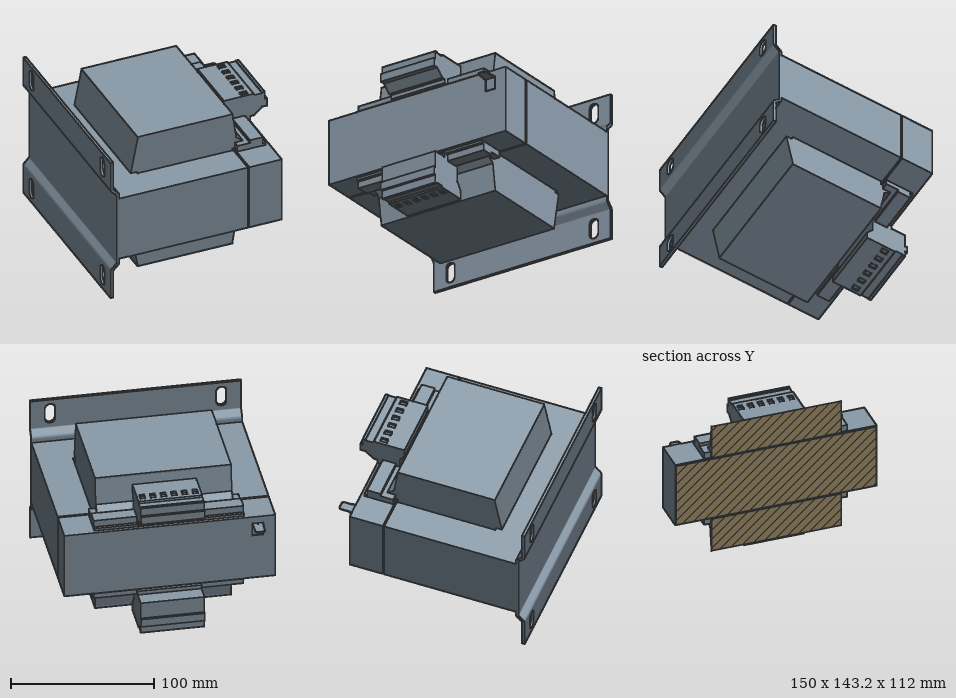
import cadquery as cq
import math


TOLERANCE = 0.02

CORE_WIDTH = 150.0
CORE_HEIGHT = 50.0
CORE_FRONT = 6.8
CORE_BACK = 131.1
HALF_CORE = CORE_HEIGHT / 2
JOINT_FRONT = 105.3
JOINT_WIDTH = 0.9
JOINT_DEPTH = 0.5
WINDOW_WIDTH = 100.5
WINDOW_FRONT = 31.6

COIL_WIDTH = 96.8
COIL_TOP = 53.7
COIL_RIM = 1.5
COIL_TOP_FRONT = 32.5
COIL_TOP_BACK = 105.3
COIL_BASE_FRONT = 27.3
SHOULDER_BACK = 108.2
SHOULDER_Z = 33.6
COIL_BASE_BACK = 113.1

BRACKET_HEIGHT = 112.0
SHEET = 2.1
BEND_ANGLE = 45.0
INNER_BEND_RADIUS = 1.0
WEB_CORNER_Z = 28.0
SLOT_LENGTH = 15.3
SLOT_WIDTH = 7.4
SLOT_SPACING_X = 121.8
SLOT_SPACING_Z = 89.7

RAIL_WIDTH = 106.5
RAIL_FRONT = 106.8
RAIL_STEP = 116.4
RAIL_BACK = 126.3
RAIL_LOW_Z = 29.7
RAIL_HIGH_Z = 32.0
LIP_BACK = 128.5
LIP_Z = 26.8

STRIP_WIDTH = 45.3
STRIP_FRONT = 110.1
UPPER_WAIST = 113.7
LOWER_WAIST = 114.5
STRIP_BODY_BACK = 141.5
STRIP_NOSE_BACK = 143.2
STRIP_HEEL_BACK = 130.4
STRIP_TOP = 48.3
LOWER_STRIP_EXTRA = 7.0
STRIP_FOOT = 27.3
STRIP_HEEL_Z = 30.3
NOSE_LOW_Z = 35.7
NOSE_HIGH_Z = 41.7
WAIST_LOW_Z = 36.2
WAIST_HIGH_Z = 42.3
LEDGE_Z = 47.1
LEDGE_FRONT = 133.6
LEDGE_BACK = 139.4
LEDGE_RISE = 0.8
RIDGE_Z = 47.7
POLE_COUNT = 6
POLE_PITCH = 7.5
POCKET_WIDTH = 3.5
POCKET_LENGTH = 5.0
POCKET_Y = 126.8
POCKET_DEPTH = 1.5

TAB_X = -62.4
TAB_SHEET = 0.8
TAB_TOP = 19.6
TAB_BOTTOM = 10.2
TAB_BASE_WIDTH = 8.0
TAB_WIDTH = 6.9
TAB_SHOULDER = 134.5
TAB_END = 142.6
TAB_CHAMFER = 1.0


def box(width, y_front, y_back, z_low, z_high):
    """Box centred on X = 0 between the given Y and Z limits."""
    return cq.Workplane("XY").box(width, y_back - y_front, z_high - z_low).translate(
        (0, (y_front + y_back) / 2, (z_low + z_high) / 2)
    )


def extrude_along_x(points, width):
    """Prism of a (y, z) outline, centred on X = 0."""
    return cq.Workplane("YZ").polyline(points).close().extrude(width / 2, both=True)


def with_lower_twin(body):
    """The body together with its mirror image below Z = 0."""
    return body.union(body.mirror("XY"))


def make_core():
    """Core with two open window sides and a shallow groove around the yoke joint."""
    core = box(CORE_WIDTH, CORE_FRONT, CORE_BACK, -HALF_CORE, HALF_CORE)
    window = box(WINDOW_WIDTH, WINDOW_FRONT, JOINT_FRONT, -HALF_CORE, HALF_CORE)
    joint_back = JOINT_FRONT + JOINT_WIDTH
    joint = box(CORE_WIDTH, JOINT_FRONT, joint_back, -HALF_CORE, HALF_CORE)
    joint_floor = box(
        CORE_WIDTH - 2 * JOINT_DEPTH,
        JOINT_FRONT,
        joint_back,
        -HALF_CORE + JOINT_DEPTH,
        HALF_CORE - JOINT_DEPTH,
    )
    return core.cut(window).cut(joint.cut(joint_floor))


def make_coil():
    """Coil filling the window, with tapered overhangs above and below the core."""
    middle = box(COIL_WIDTH, WINDOW_FRONT, JOINT_FRONT, -HALF_CORE, HALF_CORE)
    rim_low = COIL_TOP - COIL_RIM
    overhang = extrude_along_x(
        [
            (COIL_BASE_FRONT, HALF_CORE),
            (COIL_TOP_FRONT, rim_low),
            (COIL_TOP_FRONT, COIL_TOP),
            (COIL_TOP_BACK, COIL_TOP),
            (COIL_TOP_BACK, rim_low),
            (SHOULDER_BACK, SHOULDER_Z),
            (COIL_BASE_BACK, RAIL_LOW_Z),
            (COIL_BASE_BACK, HALF_CORE),
        ],
        COIL_WIDTH,
    )
    return middle.union(with_lower_twin(overhang))


def fillet_bends(body, corners, radius):
    """Round the X-parallel edges at the given (y, z) corners and their mirror images below Z = 0."""

    def is_bend(edge):
        center = edge.Center()
        return any(math.hypot(center.y - y, abs(center.z) - z) < TOLERANCE for y, z in corners)

    return body.edges("|X").filter(is_bend).fillet(radius)


def make_bracket():
    """Sheet bracket with a raised web, two slotted flanges and rounded bends."""
    web_front = CORE_FRONT - SHEET
    half_height = BRACKET_HEIGHT / 2
    flange_corner_z = WEB_CORNER_Z + web_front / math.tan(math.radians(BEND_ANGLE))
    back_shift = SHEET * math.tan(math.radians(BEND_ANGLE / 2))
    upper = [
        (web_front, WEB_CORNER_Z),
        (0, flange_corner_z),
        (0, half_height),
        (SHEET, half_height),
        (SHEET, flange_corner_z + back_shift),
        (CORE_FRONT, WEB_CORNER_Z + back_shift),
    ]
    lower = [(y, -z) for y, z in reversed(upper)]
    bracket = extrude_along_x(upper + lower, CORE_WIDTH)

    web_corner, flange_front, _, _, flange_back, web_back = upper
    bracket = fillet_bends(bracket, [web_corner, flange_back], INNER_BEND_RADIUS)
    bracket = fillet_bends(bracket, [flange_front, web_back], INNER_BEND_RADIUS + SHEET)
    slots = (
        cq.Workplane("XZ")
        .rarray(SLOT_SPACING_X, SLOT_SPACING_Z, 2, 2)
        .slot2D(SLOT_LENGTH, SLOT_WIDTH, 90)
        .extrude(-SHEET)
    )
    return bracket.cut(slots)


def make_rail():
    """Stepped rail on top of the yoke that carries a terminal strip."""
    return extrude_along_x(
        [
            (RAIL_FRONT, HALF_CORE),
            (RAIL_FRONT, RAIL_LOW_Z),
            (RAIL_STEP, RAIL_LOW_Z),
            (RAIL_STEP, RAIL_HIGH_Z),
            (RAIL_BACK, RAIL_HIGH_Z),
            (RAIL_BACK, LIP_Z),
            (LIP_BACK, LIP_Z),
            (LIP_BACK, HALF_CORE),
        ],
        RAIL_WIDTH,
    )


def make_strip(heel_back, waist, extra_height):
    """Terminal strip above the rail, with everything over its heel raised by extra_height.

    heel_back joins the nose underside to the heel; waist is the Y of the face towards the coil.
    """
    head = [
        (waist, WAIST_LOW_Z),
        (STRIP_FRONT, WAIST_HIGH_Z),
        (STRIP_FRONT, STRIP_TOP),
        (LEDGE_FRONT - LEDGE_RISE, STRIP_TOP),
        (LEDGE_FRONT, LEDGE_Z),
        (LEDGE_BACK, LEDGE_Z),
        (LEDGE_BACK, RIDGE_Z),
        (STRIP_BODY_BACK, RIDGE_Z),
        (STRIP_BODY_BACK, NOSE_HIGH_Z),
        (STRIP_NOSE_BACK, NOSE_HIGH_Z),
        (STRIP_NOSE_BACK, NOSE_LOW_Z),
    ]
    raised_head = [(y, z + extra_height) for y, z in head]
    heel = [
        (STRIP_HEEL_BACK, STRIP_HEEL_Z),
        (STRIP_HEEL_BACK, STRIP_FOOT),
        (waist, STRIP_FOOT),
    ]
    strip = extrude_along_x(raised_head + heel_back + heel, STRIP_WIDTH)
    pockets = (
        cq.Workplane("XY", origin=(0, POCKET_Y, STRIP_TOP + extra_height))
        .rarray(POLE_PITCH, 1.5, POLE_COUNT, 1)
        .rect(POCKET_WIDTH, POCKET_LENGTH)
        .extrude(-POCKET_DEPTH)
    )
    return strip.cut(pockets)


def make_earth_tab():
    """L-shaped sheet tab on the back of the yoke."""
    half_base = TAB_BASE_WIDTH / 2
    half_tab = TAB_WIDTH / 2
    half_tip = half_tab - TAB_CHAMFER
    right_edge = [
        (half_base, CORE_BACK),
        (half_base, TAB_SHOULDER),
        (half_tab, TAB_SHOULDER),
        (half_tab, TAB_END - TAB_CHAMFER),
        (half_tip, TAB_END),
    ]
    left_edge = [(-x, y) for x, y in reversed(right_edge)]
    blade = (
        cq.Workplane("XY", origin=(0, 0, TAB_TOP))
        .polyline(right_edge + left_edge)
        .close()
        .extrude(-TAB_SHEET)
    )
    leg = box(TAB_BASE_WIDTH, CORE_BACK, CORE_BACK + TAB_SHEET, TAB_BOTTOM, TAB_TOP)
    return blade.union(leg).translate((TAB_X, 0, 0))


sloped_heel = [(LEDGE_BACK, NOSE_LOW_Z), (LEDGE_FRONT - LEDGE_RISE, STRIP_HEEL_Z)]
square_heel = [(STRIP_BODY_BACK, NOSE_LOW_Z + LOWER_STRIP_EXTRA), (STRIP_BODY_BACK, STRIP_HEEL_Z)]
upper_strip = make_strip(sloped_heel, UPPER_WAIST, 0)
lower_strip = make_strip(square_heel, LOWER_WAIST, LOWER_STRIP_EXTRA).mirror("XY")

result = (
    make_core()
    .union(make_coil())
    .union(make_bracket())
    .union(with_lower_twin(make_rail()))
    .union(upper_strip)
    .union(lower_strip)
    .union(make_earth_tab())
)